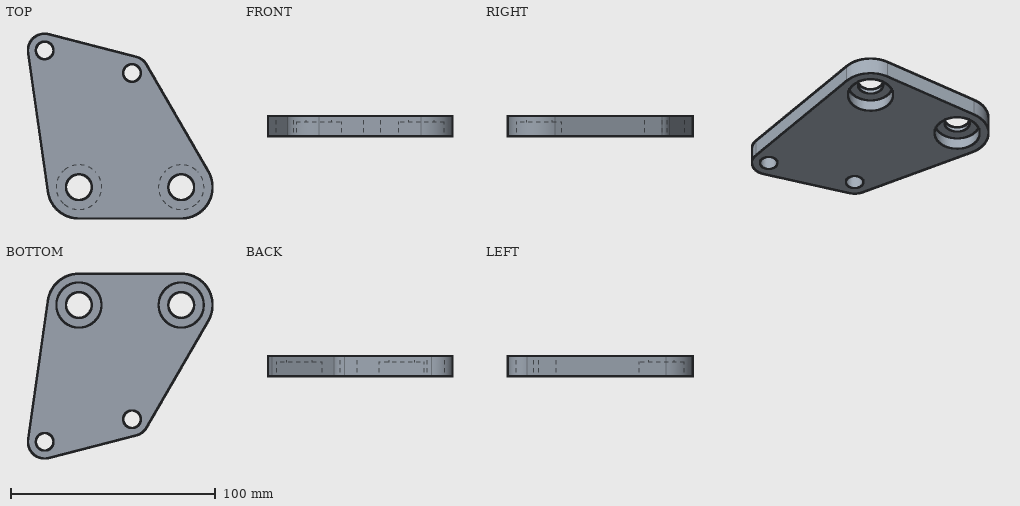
import cadquery as cq
import math

thickness = 10.0
large_radius = 15.4
small_radius = 8.2
large_hole_diameter = 12.5
small_hole_diameter = 8.5
counterbore_diameter = 22.05
counterbore_depth = 7.05

lower_left = (0.0, 0.0)
lower_right = (50.0, 0.0)
upper_right = (25.9, 55.8)
upper_left = (-16.7, 66.8)

corners = [
    (lower_left, large_radius, large_hole_diameter),
    (lower_right, large_radius, large_hole_diameter),
    (upper_right, small_radius, small_hole_diameter),
    (upper_left, small_radius, small_hole_diameter),
]


def point_on_corner(corner, angle):
    (x, y), radius, _ = corner
    return (x + radius * math.cos(angle), y + radius * math.sin(angle))


def tangent_angle(corner, following):
    """Direction of the outward normal of the straight edge joining two corners."""
    (x0, y0), r0, _ = corner
    (x1, y1), r1, _ = following
    dx = x1 - x0
    dy = y1 - y0
    return math.atan2(dy, dx) - math.acos((r0 - r1) / math.hypot(dx, dy))


def plate():
    """Convex outline of rounded corners joined by tangent edges."""
    count = len(corners)
    normals = [tangent_angle(corners[i], corners[(i + 1) % count]) for i in range(count)]
    outline = cq.Workplane("XY").moveTo(*point_on_corner(corners[0], normals[-1]))
    for i, corner in enumerate(corners):
        start = normals[i - 1]
        sweep = (normals[i] - start) % (2 * math.pi)
        outline = outline.threePointArc(
            point_on_corner(corner, start + sweep / 2),
            point_on_corner(corner, normals[i]),
        )
        if i < count - 1:
            outline = outline.lineTo(*point_on_corner(corners[i + 1], normals[i]))
    return outline.close().extrude(thickness)


def cylinder(centre, diameter, height):
    return cq.Workplane("XY").center(*centre).circle(diameter / 2).extrude(height)


result = plate()
for centre, _, hole_diameter in corners:
    result = result.cut(cylinder(centre, hole_diameter, thickness))

for centre in (lower_left, lower_right):
    result = result.cut(cylinder(centre, counterbore_diameter, counterbore_depth))